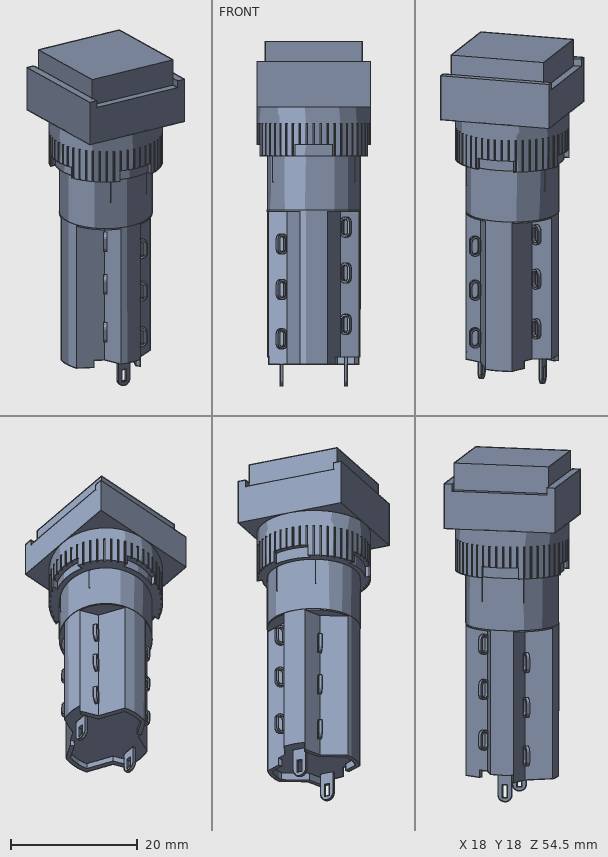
import cadquery as cq
import math

overall_height = 54.5
bezel_top = 51.35
side_rim_top = 50.2
bezel_bottom = 44.15
knurl_top = 41.55
ring_notch_top = 38.2
ring_bottom = 36.4
slit_bottom = 32.25
barrel_bottom = 27.85
recess_top = 4.65
block_bottom = 3.45

bezel_width = 18.0
button_width = 15.35
barrel_radius = 7.35
slit_width = 0.05
slit_depth = 0.25
slit_offset = 3.4

ring_radius = bezel_width / 2
notch_floor_radius = 8.2
notch_width = 5.9
knurl_count = 50
knurl_width = 0.2
knurl_depth = 0.25

flange_thickness = 0.2
ridge_x_half_width = 1.85
ridge_y_half_width = 2.2
ridge_x_reach = math.sqrt(barrel_radius**2 - ridge_x_half_width**2)
ridge_y_reach = math.sqrt(barrel_radius**2 - ridge_y_half_width**2)
valley_x = 4.25
valley_y = 3.05
recess_wall = 0.65
mouth_half_width = 1.35
mouth_inner_x = 6.4
corner_opening_x = 3.5
corner_opening_y = 4.5

lug_thickness = 0.55
lug_height = 3.2
lug_width = 1.75
lug_wall = 0.3
lug_x = 5.05
lug_y = 3.45
low_lug_heights = (22.45, 15.25, 7.45)
high_lug_heights = (25.1, 17.9, 9.75)

terminal_x = 5.05
terminal_thickness = 0.5
terminal_width = 2.2
terminal_slot_width = 0.8
terminal_slot_bottom = 0.65
terminal_slot_top = 2.7


def box_between(x_range, y_range, z_range):
    """Axis-aligned box between two limits on each axis."""
    return cq.Workplane("XY").box(
        x_range[1] - x_range[0],
        y_range[1] - y_range[0],
        z_range[1] - z_range[0],
        centered=False,
    ).translate((x_range[0], y_range[0], z_range[0]))


def cylinder_between(radius, bottom, top):
    """Cylinder on the Z axis."""
    return cq.Workplane("XY").workplane(offset=bottom).circle(radius).extrude(top - bottom)


def make_button():
    """Square button resting on the floor of the bezel channel."""
    half = button_width / 2
    return box_between((-half, half), (-half, half), (side_rim_top, overall_height))


def make_housing():
    """Square bezel, with lower rims on its X sides, over a round barrel."""
    half = bezel_width / 2
    channel_half = button_width / 2
    bezel = box_between((-half, half), (-half, half), (bezel_bottom, bezel_top))
    bezel = bezel.cut(
        box_between((-half, half), (-channel_half, channel_half), (side_rim_top, bezel_top))
    )
    housing = bezel.union(cylinder_between(barrel_radius, barrel_bottom, bezel_bottom))

    slit_x = math.sqrt(barrel_radius**2 - slit_offset**2)
    slit_height = ring_bottom - slit_bottom
    for x_side in (-1, 1):
        for y_side in (-1, 1):
            slit = cq.Workplane("XY").box(2 * slit_depth, slit_width, slit_height).translate(
                (x_side * slit_x, y_side * slit_offset, slit_bottom + slit_height / 2)
            )
            housing = housing.cut(slit)
    return housing


def make_ring():
    """Knurled ring around the barrel with four notches in its lower edge."""
    ring = cylinder_between(ring_radius, ring_bottom, bezel_bottom)

    knurls = (
        cq.Workplane("XY")
        .workplane(offset=ring_bottom)
        .polarArray(ring_radius, -90, 360, knurl_count)
        .rect(2 * knurl_depth, knurl_width)
        .extrude(knurl_top - ring_bottom)
    )
    ring = ring.cut(knurls)

    half = notch_width / 2
    notch_heights = (ring_bottom, ring_notch_top)
    notches = box_between((-ring_radius, ring_radius), (-half, half), notch_heights).union(
        box_between((-half, half), (-ring_radius, ring_radius), notch_heights)
    )
    notches = notches.cut(cylinder_between(notch_floor_radius, *notch_heights))
    ring = ring.cut(notches)
    return ring.cut(cylinder_between(barrel_radius, ring_bottom, bezel_bottom))


def block_outline():
    """Four arc-faced ridges with V-shaped valleys between them, at the bottom of the block."""
    return (
        cq.Workplane("XY")
        .workplane(offset=block_bottom)
        .moveTo(ridge_x_reach, -ridge_x_half_width)
        .threePointArc((barrel_radius, 0), (ridge_x_reach, ridge_x_half_width))
        .lineTo(valley_x, valley_y)
        .lineTo(ridge_y_half_width, ridge_y_reach)
        .threePointArc((0, barrel_radius), (-ridge_y_half_width, ridge_y_reach))
        .lineTo(-valley_x, valley_y)
        .lineTo(-ridge_x_reach, ridge_x_half_width)
        .threePointArc((-barrel_radius, 0), (-ridge_x_reach, -ridge_x_half_width))
        .lineTo(-valley_x, -valley_y)
        .lineTo(-ridge_y_half_width, -ridge_y_reach)
        .threePointArc((0, -barrel_radius), (ridge_y_half_width, -ridge_y_reach))
        .lineTo(valley_x, -valley_y)
        .close()
    )


def make_block_body():
    """Ridged column with a thin round flange on top."""
    column = block_outline().extrude(barrel_bottom - block_bottom)
    flange = cylinder_between(barrel_radius, barrel_bottom - flange_thickness, barrel_bottom)
    return column.union(flange)


def make_bottom_recess():
    """Shallow recess in the bottom face, open through both X ridges and two opposite corners."""
    depth = recess_top - block_bottom
    recess = block_outline().offset2D(-recess_wall, "intersection").extrude(depth)

    mouth = (
        cq.Workplane("XY")
        .workplane(offset=block_bottom)
        .moveTo(0, -mouth_half_width)
        .lineTo(mouth_inner_x, -mouth_half_width)
        .lineTo(ridge_x_reach, -ridge_x_half_width)
        .lineTo(barrel_radius, -ridge_x_half_width)
        .lineTo(barrel_radius, ridge_x_half_width)
        .lineTo(ridge_x_reach, ridge_x_half_width)
        .lineTo(mouth_inner_x, mouth_half_width)
        .lineTo(0, mouth_half_width)
        .close()
        .extrude(depth)
    )
    wall_run_x = valley_x - ridge_y_half_width
    wall_run_y = ridge_y_reach - valley_y
    inward = 2 * recess_wall / math.hypot(wall_run_x, wall_run_y)
    corner = (
        cq.Workplane("XY")
        .workplane(offset=block_bottom)
        .lineTo(corner_opening_x - inward * wall_run_y, inward * wall_run_x - corner_opening_y)
        .lineTo(corner_opening_x, -corner_opening_y)
        .lineTo(barrel_radius, -corner_opening_y)
        .lineTo(barrel_radius, 0)
        .close()
        .extrude(depth)
    )
    opening = mouth.union(corner)
    opposite_opening = opening.rotate((0, 0, 0), (0, 0, 1), 180)
    return recess.union(opening).union(opposite_opening)


def make_lug(x_side, y_side, height):
    """Upright plate with round ends and a slot, standing radially in one valley."""
    lug = (
        cq.Workplane("XZ")
        .slot2D(lug_height, lug_width, 90)
        .slot2D(lug_height - 2 * lug_wall, lug_width - 2 * lug_wall, 90)
        .extrude(lug_thickness / 2, both=True)
        .translate((math.hypot(lug_x, lug_y), 0, height))
    )
    direction = math.degrees(math.atan2(y_side * lug_y, x_side * lug_x))
    return lug.rotate((0, 0, 0), (0, 0, 1), direction)


def make_terminal(x_side):
    """Flat solder terminal with a round tip and a rectangular slot."""
    tip_radius = terminal_width / 2
    terminal = (
        cq.Workplane("YZ")
        .moveTo(-tip_radius, recess_top)
        .lineTo(-tip_radius, tip_radius)
        .threePointArc((0, 0), (tip_radius, tip_radius))
        .lineTo(tip_radius, recess_top)
        .close()
        .extrude(terminal_thickness / 2, both=True)
    )
    slot = box_between(
        (-terminal_thickness, terminal_thickness),
        (-terminal_slot_width / 2, terminal_slot_width / 2),
        (terminal_slot_bottom, terminal_slot_top),
    )
    return terminal.cut(slot).translate((x_side * terminal_x, 0, 0))


def make_contact_block():
    """Contact block with its twelve lugs and two terminals."""
    block = make_block_body().cut(make_bottom_recess())
    for x_side in (-1, 1):
        for y_side in (-1, 1):
            lug_heights = low_lug_heights if x_side == y_side else high_lug_heights
            for height in lug_heights:
                block = block.union(make_lug(x_side, y_side, height))
        block = block.union(make_terminal(x_side))
    return block


button = make_button()
housing = make_housing()
ring = make_ring()
contact_block = make_contact_block()

result = cq.Compound.makeCompound(
    [body.solids().val() for body in (button, housing, ring, contact_block)]
)